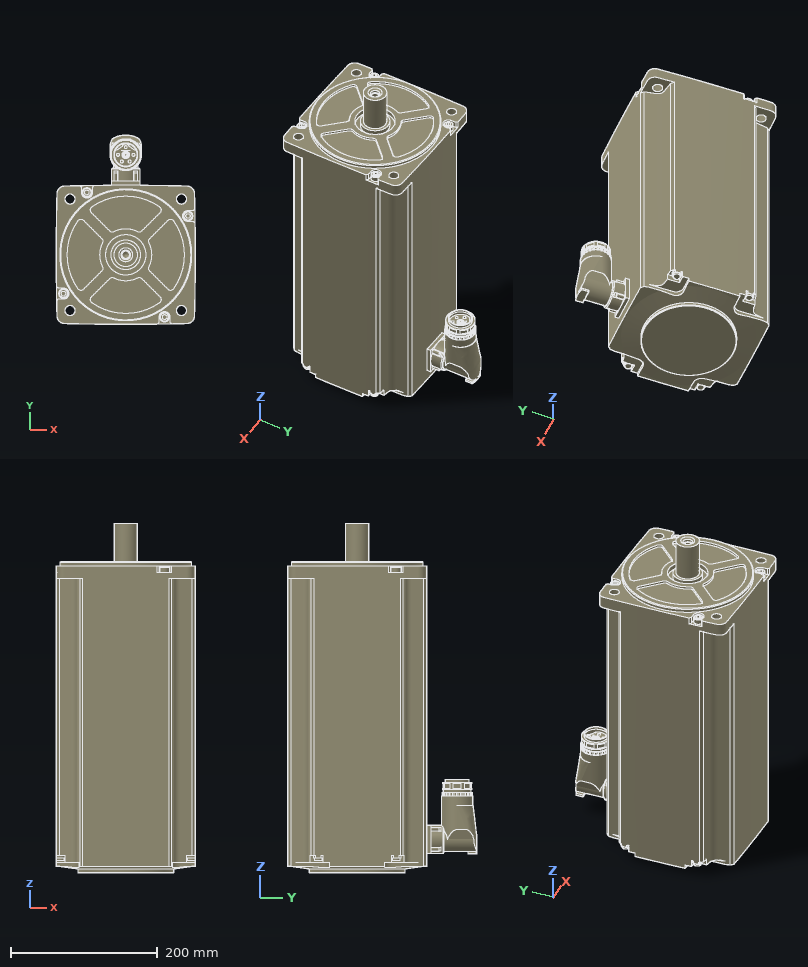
import cadquery as cq
import math

HALF_WIDTH = 95.0
SIDE_BOW = 1.3
OVERALL_LENGTH = 477.0
OVERALL_DEPTH = 258.3
SHAFT_TOP = 58.0
REAR_END = SHAFT_TOP - OVERALL_LENGTH

FLANGE_THICKNESS = 17.5
FLANGE_CORNER_RADIUS = 11.0
BOLT_OFFSET = 76.0
BOLT_DIAMETER = 13.5

PANEL_HALF_WIDTH = 58.7
PANEL_CHAMFER = 4.0
GROOVE_CORNER = 66.9
GROOVE_FILLET = 10.0

REAR_DISC_DIAMETER = 131.0
REAR_DISC_THICKNESS = 5.5
REAR_DISC_CHAMFER = 1.0
REAR_CONE_RISE = 3.8
REAR_CONE_RADIUS = 92.0
REAR_SEAM_Z = -404.3
REAR_POCKET_HEIGHT = 9.3
REAR_POCKET_INNER_X = 82.6
REAR_POCKET_INNER_Y = 46.7
REAR_SCREW_X = 89.3
REAR_SCREW_Y = 53.2
REAR_WASHER_DIAMETER = 13.0
REAR_WASHER_HEIGHT = 3.5
REAR_HEAD_DIAMETER = 10.0
REAR_HEAD_HEIGHT = 6.9
REAR_CUT_X = 64.0
REAR_CUT_Y = 37.5
REAR_CUT_FILLET = 11.5

PILOT_DIAMETER = 180.0
PILOT_HEIGHT = 6.0
PILOT_CHAMFER = 1.2
SPOKE_HALF_WIDTH = 7.5
SECTOR_OUTER_RADIUS = 80.0
SECTOR_INNER_RADIUS = 35.5
SECTOR_DEPTH = 3.5
SECTOR_FILLET = 5.0
RECESS_DIAMETER = 55.0
RECESS_DEPTH = 8.0
COLLAR_DIAMETER = 40.3
SHAFT_DIAMETER = 32.0
CENTRE_MOUTH_DIAMETER = 19.0
CENTRE_MOUTH_DEPTH = 2.0
CENTRE_BORE_DIAMETER = 13.0
CENTRE_BORE_END = 6.0
CENTRE_HOLE_DIAMETER = 10.11
CENTRE_HOLE_END = 28.0
CENTRE_TIP_LENGTH = 3.0

NOTCH_OFFSET = 52.9
NOTCH_RADIAL = 85.0
NOTCH_WIDTH = 15.0
NOTCH_DEPTH = 9.3
NOTCH_FLARE = 2.8
SCREW_HEAD_DIAMETER = 13.0
SCREW_HEAD_HEIGHT = 8.0
SCREW_HEAD_CHAMFER = 1.0
SCREW_SOCKET_DIAMETER = 7.06
SCREW_SOCKET_DEPTH = 4.0

CONNECTOR_Z = -373.0
PLATE_WIDTH = 39.0
PLATE_OVERLAP = 1.0
PLATE_FRONT_Y = 100.6
RING_START_Y = 114.6
ELBOW_START_Y = 118.5
PLATE_SCREW_OFFSET = 13.7
PLATE_SCREW_DIAMETER = 5.2
PLATE_NOTCH_DIAMETER = 6.65
PLATE_SCREW_HEIGHT = 11.0
RING_CHAMFER = 1.5

PLUG_Y = 136.3
PLUG_RADIUS = 21.5
PLUG_TOP_Z = -313.5
BACK_START_Z = -326.5
BACK_FULL_Z = -368.0
BACK_Y = OVERALL_DEPTH - HALF_WIDTH
FLAT_LENGTH = 15.5
FLAT_START_LENGTH = 0.4
BRANCH_RADIUS = 16.8
CHEEK_Z = -359.6
FOOT_FRONT_Y = 151.0
FOOT_BOTTOM_Z = -392.6
FOOT_TOP_Z = -389.5
FOOT_HALF_WIDTH = 11.0

KNURL_TOP_Z = -309.0
NECK_DIAMETER = 38.0
NUT_BOTTOM_Z = -305.0
NUT_TOP_Z = -295.6
NUT_DIAMETER = 40.3
NUT_SLOT_COUNT = 8
NUT_SLOT_WIDTH = 11.0
NUT_SLOT_DEPTH = 0.8
NUT_RIM_HEIGHT = 1.5
KNURL_DIAMETER = 42.0
KNURL_COUNT = 24
KNURL_GROOVE_DIAMETER = 2.0
MOUTH_TOP_Z = -291.3
MOUTH_DIAMETER = 32.73
MOUTH_BORE = 30.85
MOUTH_DEPTH = 8.0
CONTACT_RADIUS = 10.5
CONTACT_ANGLES = (0, 90, 180, 240, 300)
CONTACT_HOLE = 4.0
CONTACT_DEPTH = 5.0
CENTRE_RINGS = ((10.11, 8.0), (5.2, 3.6))
KEY_FLOOR_DROP = 3.0
KEY_PEAK_RADIUS = 4.6
KEY_PEAK_HALF_WIDTH = 4.6
KEY_PEAK_Y = 11.5
KEY_SHOULDER_HALF_WIDTH = 12.4
KEY_SHOULDER_Y = 6.5
KEY_SLOT_LENGTH = 11.4
KEY_SLOT_WIDTH = 0.6
KEY_SLOT_DEPTH = 1.0


def cylinder(diameter, bottom, top, x=0.0, y=0.0):
    """Vertical cylinder between two heights."""
    return cq.Workplane("XY", origin=(x, y, bottom)).circle(diameter / 2).extrude(top - bottom)


def cylinder_along_y(diameter, start, end, x=0.0, z=CONNECTOR_Z):
    """Cylinder along +Y between two Y positions."""
    return cq.Workplane("XZ", origin=(x, start, z)).circle(diameter / 2).extrude(start - end)


def box(x_range, y_range, z_range):
    """Box given by its limits along each axis."""
    sizes = [high - low for low, high in (x_range, y_range, z_range)]
    corner = (x_range[0], y_range[0], z_range[0])
    return cq.Workplane("XY").box(*sizes, centered=False).translate(corner)


def quarter_turns(shape):
    """The shape repeated at four quarter turns about Z."""
    return [shape.rotate((0, 0, 0), (0, 0, 1), 90 * turn) for turn in range(4)]


def turned(point, turn):
    """A point turned by a number of quarter turns about Z."""
    angle = turn * math.pi / 2
    x, y = point
    return (x * math.cos(angle) - y * math.sin(angle), x * math.sin(angle) + y * math.cos(angle))


def side_setback(offset):
    """How far a bowed side lies behind its middle at a given offset along it."""
    corner = HALF_WIDTH - SIDE_BOW
    bow_radius = (corner ** 2 + SIDE_BOW ** 2) / (2 * SIDE_BOW)
    return bow_radius - math.sqrt(bow_radius ** 2 - offset ** 2)


def make_flange():
    """Square plate with bowed sides, rounded corners and four bolt holes."""
    corner = HALF_WIDTH - SIDE_BOW
    outline = cq.Workplane("XY").moveTo(corner, -corner)
    for turn in range(4):
        outline = outline.threePointArc(turned((HALF_WIDTH, 0), turn), turned((corner, corner), turn))
    plate = outline.close().extrude(-FLANGE_THICKNESS).edges("|Z").fillet(FLANGE_CORNER_RADIUS)
    bolts = [(x, y) for x in (-BOLT_OFFSET, BOLT_OFFSET) for y in (-BOLT_OFFSET, BOLT_OFFSET)]
    holes = cq.Workplane("XY").pushPoints(bolts).circle(BOLT_DIAMETER / 2).extrude(-FLANGE_THICKNESS)
    return plate.cut(holes)


def make_body():
    """Four bowed panels with a rounded groove at every corner, over the full length."""
    panel_edge = HALF_WIDTH - side_setback(PANEL_HALF_WIDTH)
    start = (panel_edge, -PANEL_HALF_WIDTH)
    chamfer_end = (panel_edge - PANEL_CHAMFER, PANEL_HALF_WIDTH + PANEL_CHAMFER)
    outline = cq.Workplane("XY", origin=(0, 0, -FLANGE_THICKNESS)).moveTo(*start)
    for turn in range(4):
        outline = outline.threePointArc(
            turned((HALF_WIDTH, 0), turn), turned((panel_edge, PANEL_HALF_WIDTH), turn)
        )
        outline = outline.lineTo(*turned(chamfer_end, turn))
        outline = outline.lineTo(*turned((GROOVE_CORNER, GROOVE_CORNER), turn))
        outline = outline.lineTo(*turned((chamfer_end[1], chamfer_end[0]), turn))
        if turn < 3:
            outline = outline.lineTo(*turned(start, turn + 1))
    body = outline.close().extrude(REAR_END + FLANGE_THICKNESS)
    for x in (-GROOVE_CORNER, GROOVE_CORNER):
        for y in (-GROOVE_CORNER, GROOVE_CORNER):
            corner = cq.selectors.NearestToPointSelector((x, y, REAR_END / 2))
            body = body.edges("|Z").edges(corner).fillet(GROOVE_FILLET)
    return body


def make_rear_envelope():
    """Solid of revolution that shapes the rear cone and disc."""
    disc_radius = REAR_DISC_DIAMETER / 2
    disc_top = REAR_END + REAR_DISC_THICKNESS
    outer = 2 * HALF_WIDTH
    cone_top = disc_top + REAR_CONE_RISE
    return (
        cq.Workplane("XZ")
        .polyline([(0, 0), (outer, 0), (outer, cone_top), (REAR_CONE_RADIUS, cone_top),
                   (disc_radius, disc_top),
                   (disc_radius, REAR_END + REAR_DISC_CHAMFER),
                   (disc_radius - REAR_DISC_CHAMFER, REAR_END), (0, REAR_END)])
        .close()
        .revolve(360, (0, 0, 0), (0, 1, 0))
    )


def cut_rear_corners(body):
    """Corner cut-outs below the seam, and a screw pocket above each of them."""
    cut_out = box((REAR_CUT_X, 2 * HALF_WIDTH), (REAR_CUT_Y, 2 * HALF_WIDTH), (REAR_END, REAR_SEAM_Z))
    cut_out = cut_out.edges("|Z and <X and <Y").fillet(REAR_CUT_FILLET)
    top = REAR_SEAM_Z + REAR_POCKET_HEIGHT
    pocket = box((REAR_POCKET_INNER_X, HALF_WIDTH), (REAR_POCKET_INNER_Y, GROOVE_CORNER),
                 (REAR_SEAM_Z, top))
    washer = cylinder(REAR_WASHER_DIAMETER, top - REAR_WASHER_HEIGHT, top, REAR_SCREW_X, REAR_SCREW_Y)
    head = cylinder(REAR_HEAD_DIAMETER, top - REAR_HEAD_HEIGHT, top, REAR_SCREW_X, REAR_SCREW_Y)
    tool = pocket.cut(washer).cut(head).union(cut_out)
    for x_side in (tool, tool.mirror("YZ")):
        body = body.cut(x_side).cut(x_side.mirror("XZ"))
    return body


def cut_flange_screws(motor):
    """Side notches in the flange, flared at the mouth, each holding a socket-head screw."""
    half = NOTCH_WIDTH / 2
    overshoot = 1.0
    mouth = HALF_WIDTH + overshoot
    mouth_half = half + NOTCH_FLARE + overshoot
    notch = (
        cq.Workplane("XY", origin=(0, 0, -NOTCH_DEPTH))
        .moveTo(mouth, NOTCH_OFFSET - mouth_half)
        .lineTo(HALF_WIDTH - NOTCH_FLARE, NOTCH_OFFSET - half)
        .lineTo(NOTCH_RADIAL, NOTCH_OFFSET - half)
        .threePointArc((NOTCH_RADIAL - half, NOTCH_OFFSET), (NOTCH_RADIAL, NOTCH_OFFSET + half))
        .lineTo(HALF_WIDTH - NOTCH_FLARE, NOTCH_OFFSET + half)
        .lineTo(mouth, NOTCH_OFFSET + mouth_half)
        .close()
        .extrude(NOTCH_DEPTH)
    )
    head_top = SCREW_HEAD_HEIGHT - NOTCH_DEPTH
    head = cylinder(SCREW_HEAD_DIAMETER, -NOTCH_DEPTH, head_top, NOTCH_RADIAL, NOTCH_OFFSET)
    head = head.faces(">Z").edges().chamfer(SCREW_HEAD_CHAMFER)
    socket = (
        cq.Workplane("XY", origin=(NOTCH_RADIAL, NOTCH_OFFSET, head_top))
        .polygon(6, SCREW_SOCKET_DIAMETER)
        .extrude(-SCREW_SOCKET_DEPTH)
    )
    for tool in quarter_turns(notch.cut(head).union(socket)):
        motor = motor.cut(tool)
    return motor


def make_pilot():
    """Centring disc on the mounting face."""
    return cylinder(PILOT_DIAMETER, 0, PILOT_HEIGHT).faces(">Z").edges().chamfer(PILOT_CHAMFER)


def cut_pilot_face(motor):
    """Four sector pockets between spokes, and the round recess around the shaft."""
    floor = PILOT_HEIGHT - SECTOR_DEPTH
    ring = cylinder(2 * SECTOR_OUTER_RADIUS, floor, PILOT_HEIGHT)
    ring = ring.cut(cylinder(2 * SECTOR_INNER_RADIUS, floor, PILOT_HEIGHT))
    apex = SPOKE_HALF_WIDTH * math.sqrt(2)
    wedge = (
        cq.Workplane("XY", origin=(0, 0, floor))
        .polyline([(apex, 0), (apex + PILOT_DIAMETER, PILOT_DIAMETER),
                   (apex + PILOT_DIAMETER, -PILOT_DIAMETER)])
        .close()
        .extrude(SECTOR_DEPTH)
    )
    sector = ring.intersect(wedge).edges("|Z").fillet(SECTOR_FILLET)
    for tool in quarter_turns(sector):
        motor = motor.cut(tool)
    recess = cylinder(RECESS_DIAMETER, PILOT_HEIGHT - RECESS_DEPTH, PILOT_HEIGHT)
    return motor.cut(recess.cut(cylinder(COLLAR_DIAMETER, PILOT_HEIGHT - RECESS_DEPTH, PILOT_HEIGHT)))


def make_shaft():
    """Output shaft with a stepped centre hole."""
    shaft = cylinder(SHAFT_DIAMETER, 0, SHAFT_TOP)
    bore_radius = CENTRE_BORE_DIAMETER / 2
    hole_radius = CENTRE_HOLE_DIAMETER / 2
    centre_hole = (
        cq.Workplane("XZ")
        .polyline([(0, SHAFT_TOP), (CENTRE_MOUTH_DIAMETER / 2, SHAFT_TOP),
                   (bore_radius, SHAFT_TOP - CENTRE_MOUTH_DEPTH),
                   (bore_radius, SHAFT_TOP - CENTRE_BORE_END),
                   (hole_radius, SHAFT_TOP - CENTRE_BORE_END),
                   (hole_radius, SHAFT_TOP - CENTRE_HOLE_END),
                   (0, SHAFT_TOP - CENTRE_HOLE_END - CENTRE_TIP_LENGTH)])
        .close()
        .revolve(360, (0, 0, 0), (0, 1, 0))
    )
    return shaft.cut(centre_hole)


def make_connector_base():
    """Square plate, round barrel with four sunk screws, and a chamfered ring."""
    inner = HALF_WIDTH - PLATE_OVERLAP
    half = PLATE_WIDTH / 2
    base = box((-half, half), (inner, PLATE_FRONT_Y), (CONNECTOR_Z - half, CONNECTOR_Z + half))
    base = base.union(cylinder_along_y(PLATE_WIDTH, PLATE_FRONT_Y, RING_START_Y))
    for x in (-PLATE_SCREW_OFFSET, PLATE_SCREW_OFFSET):
        for z in (CONNECTOR_Z - PLATE_SCREW_OFFSET, CONNECTOR_Z + PLATE_SCREW_OFFSET):
            base = base.cut(cylinder_along_y(PLATE_NOTCH_DIAMETER, PLATE_FRONT_Y, RING_START_Y, x, z))
            screw_end = PLATE_FRONT_Y + PLATE_SCREW_HEIGHT
            base = base.union(cylinder_along_y(PLATE_SCREW_DIAMETER, PLATE_FRONT_Y, screw_end, x, z))
    ring = cylinder_along_y(PLATE_WIDTH, RING_START_Y, ELBOW_START_Y)
    return base.union(ring.faces(">Y").edges().chamfer(RING_CHAMFER))


def back_outline(workplane, flat_length, back_y):
    """Half circle at the front, side flats, and a half ellipse at the back."""
    flat_end = PLUG_Y + flat_length
    return (
        workplane.moveTo(-PLUG_RADIUS, flat_end)
        .lineTo(-PLUG_RADIUS, PLUG_Y)
        .threePointArc((0, PLUG_Y - PLUG_RADIUS), (PLUG_RADIUS, PLUG_Y))
        .lineTo(PLUG_RADIUS, flat_end)
        .ellipseArc(PLUG_RADIUS, back_y - flat_end, 0, 180, startAtCurrent=True)
        .close()
    )


def make_elbow():
    """Upright plug body with a leaning back, on a round branch, with a foot at the back."""
    branch_bottom = CONNECTOR_Z - BRANCH_RADIUS
    plug = cylinder(2 * PLUG_RADIUS, BACK_START_Z, PLUG_TOP_Z, 0, PLUG_Y)
    leaning = back_outline(
        cq.Workplane("XY", origin=(0, 0, BACK_START_Z)),
        FLAT_START_LENGTH, PLUG_Y + PLUG_RADIUS + FLAT_START_LENGTH
    ).workplane(offset=BACK_FULL_Z - BACK_START_Z, origin=(0, 0, BACK_START_Z))
    leaning = back_outline(leaning, FLAT_LENGTH, BACK_Y).loft(ruled=True)
    lower = back_outline(cq.Workplane("XY", origin=(0, 0, BACK_FULL_Z)), FLAT_LENGTH, BACK_Y)
    elbow = plug.union(leaning).union(lower.extrude(branch_bottom - BACK_FULL_Z))

    cross_section = (
        cq.Workplane("XZ", origin=(0, BACK_Y, 0))
        .moveTo(-PLUG_RADIUS, PLUG_TOP_Z)
        .lineTo(-PLUG_RADIUS, CHEEK_Z)
        .lineTo(-BRANCH_RADIUS, CONNECTOR_Z)
        .threePointArc((0, branch_bottom), (BRANCH_RADIUS, CONNECTOR_Z))
        .lineTo(PLUG_RADIUS, CHEEK_Z)
        .lineTo(PLUG_RADIUS, PLUG_TOP_Z)
        .close()
        .extrude(BACK_Y - PLUG_Y + PLUG_RADIUS)
    )
    elbow = elbow.intersect(cross_section)
    elbow = elbow.union(cylinder_along_y(2 * BRANCH_RADIUS, ELBOW_START_Y, PLUG_Y))

    foot = back_outline(cq.Workplane("XY", origin=(0, 0, FOOT_BOTTOM_Z)), FLAT_LENGTH, BACK_Y)
    foot = foot.extrude(FOOT_TOP_Z - FOOT_BOTTOM_Z)
    foot_limits = box((-FOOT_HALF_WIDTH, FOOT_HALF_WIDTH), (FOOT_FRONT_Y, BACK_Y),
                      (FOOT_BOTTOM_Z, FOOT_TOP_Z))
    return elbow.union(foot.intersect(foot_limits))


def around_plug(shape, count):
    """A shape repeated evenly around the plug axis."""
    axis_start = (0, PLUG_Y, 0)
    axis_end = (0, PLUG_Y, 1)
    return [shape.rotate(axis_start, axis_end, 360 * index / count) for index in range(count)]


def make_plug_head():
    """Knurled ring, neck, slotted nut and open mouth with contacts."""
    knurl = cylinder(KNURL_DIAMETER, PLUG_TOP_Z, KNURL_TOP_Z, 0, PLUG_Y)
    groove = cylinder(KNURL_GROOVE_DIAMETER, PLUG_TOP_Z, KNURL_TOP_Z, KNURL_DIAMETER / 2, PLUG_Y)
    for tool in around_plug(groove, KNURL_COUNT):
        knurl = knurl.cut(tool)

    nut = cylinder(NUT_DIAMETER, NUT_BOTTOM_Z, NUT_TOP_Z, 0, PLUG_Y)
    slot_floor = NUT_DIAMETER / 2 - NUT_SLOT_DEPTH
    slot = box((slot_floor, slot_floor + PLUG_RADIUS),
               (PLUG_Y - NUT_SLOT_WIDTH / 2, PLUG_Y + NUT_SLOT_WIDTH / 2),
               (NUT_BOTTOM_Z + NUT_RIM_HEIGHT, NUT_TOP_Z - NUT_RIM_HEIGHT))
    for tool in around_plug(slot, NUT_SLOT_COUNT):
        nut = nut.cut(tool)

    head = knurl.union(cylinder(NECK_DIAMETER, KNURL_TOP_Z, NUT_BOTTOM_Z, 0, PLUG_Y)).union(nut)
    head = head.union(cylinder(MOUTH_DIAMETER, NUT_TOP_Z, MOUTH_TOP_Z, 0, PLUG_Y))
    face = MOUTH_TOP_Z - MOUTH_DEPTH
    contact_floor = face - CONTACT_DEPTH
    head = head.cut(cylinder(MOUTH_BORE, face, MOUTH_TOP_Z, 0, PLUG_Y))
    for angle in CONTACT_ANGLES:
        x = CONTACT_RADIUS * math.cos(math.radians(angle))
        y = PLUG_Y + CONTACT_RADIUS * math.sin(math.radians(angle))
        head = head.cut(cylinder(CONTACT_HOLE, contact_floor, face, x, y))
    for outer, inner in CENTRE_RINGS:
        groove = cylinder(outer, contact_floor, face, 0, PLUG_Y)
        head = head.cut(groove.cut(cylinder(inner, contact_floor, face, 0, PLUG_Y)))
    return cut_key(head, face)


def cut_key(head, face):
    """Relief on both sides of the insert's keyed peak, and the slot across its base."""
    floor = face - KEY_FLOOR_DROP
    upper_half = box((-MOUTH_BORE, MOUTH_BORE), (PLUG_Y + KEY_SHOULDER_Y, BACK_Y), (floor, face))
    relief = cylinder(MOUTH_BORE, floor, face, 0, PLUG_Y).intersect(upper_half)
    key = (
        cq.Workplane("XY", origin=(0, PLUG_Y, floor))
        .polyline([(-KEY_SHOULDER_HALF_WIDTH, KEY_SHOULDER_Y), (KEY_SHOULDER_HALF_WIDTH, KEY_SHOULDER_Y),
                   (KEY_PEAK_HALF_WIDTH, KEY_PEAK_Y), (-KEY_PEAK_HALF_WIDTH, KEY_PEAK_Y)])
        .close()
        .extrude(KEY_FLOOR_DROP)
    )
    peak = cylinder(2 * KEY_PEAK_RADIUS, floor, face, 0, PLUG_Y + CONTACT_RADIUS)
    slot = (
        cq.Workplane("XY", origin=(0, PLUG_Y + KEY_SHOULDER_Y - KEY_SLOT_WIDTH, face))
        .rect(KEY_SLOT_LENGTH, KEY_SLOT_WIDTH)
        .extrude(-KEY_SLOT_DEPTH)
    )
    return head.cut(relief.cut(key).cut(peak)).cut(slot)


body = cut_rear_corners(make_body()).intersect(make_rear_envelope())
motor = make_flange().union(body).union(make_pilot())
motor = cut_flange_screws(motor)
motor = cut_pilot_face(motor)
motor = motor.union(make_shaft())
connector = make_connector_base().union(make_elbow()).union(make_plug_head())
result = motor.union(connector)